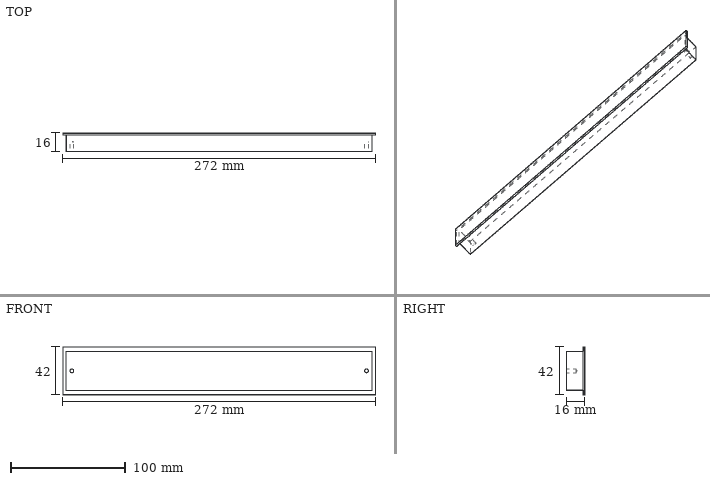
import cadquery as cq
import math

flange_length = 272.0
flange_height = 42.0
flange_thickness = 1.5

total_depth = 16.0
body_length = 266.0
body_height = 34.0
body_depth = total_depth - flange_thickness

hole_diameter = 3.3
hole_straight_depth = 8.2
hole_spacing = 256.2
drill_point_angle = 118


def plate(length, height, thickness, back_y):
    """Box centred on X and Z, reaching from back_y toward -Y."""
    return cq.Workplane("XY").box(length, thickness, height).translate((0, back_y - thickness / 2, 0))


def drilled_hole(x):
    """Cutter for one hole: a cylinder ending in a drill-point cone, entering at the -Y face."""
    radius = hole_diameter / 2
    cone_depth = radius / math.tan(math.radians(drill_point_angle / 2))
    floor_y = hole_straight_depth - total_depth
    profile = (
        cq.Workplane("XY")
        .moveTo(0, -total_depth)
        .lineTo(radius, -total_depth)
        .lineTo(radius, floor_y)
        .lineTo(0, floor_y + cone_depth)
        .close()
    )
    return profile.revolve(360, (0, 0, 0), (0, 1, 0)).translate((x, 0, 0))


flange = plate(flange_length, flange_height, flange_thickness, 0)
body = plate(body_length, body_height, body_depth, -flange_thickness)

result = flange.union(body)
for side in (-1, 1):
    result = result.cut(drilled_hole(side * hole_spacing / 2))